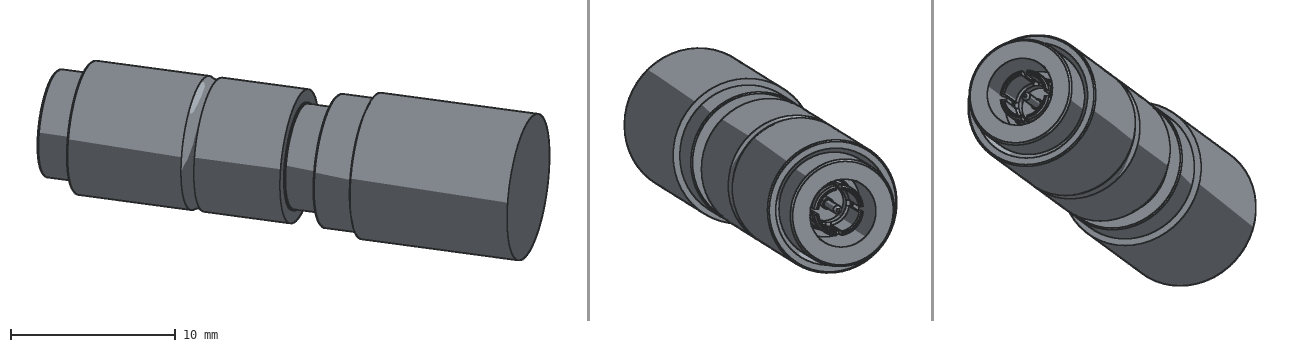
import cadquery as cq

total_length = 30.2

nose_diameter = 6.65
neck_diameter = 6.5
collar_diameter = 8.25
ferrule_diameter = 9.0
nose_chamfer = 0.12
edge_chamfer = 0.1
collar_rear_chamfer = 0.15
neck_start = 15.75
collar_start = 17.75
collar_end = 20.23
socket_diameter = 4.2
socket_depth = 3.32
seat_diameter = 3.2
seat_chamfer = 0.1

sleeve_start = 2.1
sleeve_end = 15.67
sleeve_mouth_diameter = 7.25
groove_start = 9.4
groove_end = 10.2
groove_depth = 0.15

contact_start = 0.75
contact_end = 12.08
contact_bore = 2.3
contact_tube_diameter = 2.8
contact_base_diameter = 3.15
contact_mouth_diameter = 2.6
contact_lip_chamfer = 0.1
contact_tip_chamfer = 0.12
bead_length = 0.6
slot_width = 0.35
slot_end = 3.02
slot_count = 4

insulator_start = 3.62
pin_start = 1.0
pin_shoulder = 3.02
pin_diameter = 0.65
pin_nose_diameter = 0.5
pin_tip_diameter = 0.18
pin_tip_length = 0.15


def turned(points):
    """Revolve a closed (x, radius) outline about the X axis."""
    return cq.Workplane("XY").polyline(points).close().revolve(360, (0, 0, 0), (1, 0, 0))


def make_body():
    """One turned piece: nose with its socket, neck and rear collar."""
    nose_radius = nose_diameter / 2
    neck_radius = neck_diameter / 2
    collar_radius = collar_diameter / 2
    socket_radius = socket_diameter / 2
    seat_radius = seat_diameter / 2
    return turned([
        (0, socket_radius),
        (0, nose_radius - nose_chamfer),
        (nose_chamfer, nose_radius),
        (neck_start, nose_radius),
        (neck_start, neck_radius),
        (collar_start, neck_radius),
        (collar_start, collar_radius - edge_chamfer),
        (collar_start + edge_chamfer, collar_radius),
        (collar_end - collar_rear_chamfer, collar_radius),
        (collar_end, collar_radius - collar_rear_chamfer),
        (collar_end, 0),
        (contact_end, 0),
        (contact_end, seat_radius),
        (socket_depth + seat_chamfer, seat_radius),
        (socket_depth, seat_radius + seat_chamfer),
        (socket_depth, socket_radius),
    ])


def make_sleeve():
    """Tube around the nose with a flared mouth and a shallow rounded groove."""
    outer_radius = collar_diameter / 2
    bore_radius = nose_diameter / 2
    mouth_radius = sleeve_mouth_diameter / 2
    mouth_depth = mouth_radius - bore_radius
    groove_middle = (groove_start + groove_end) / 2
    outline = (
        cq.Workplane("XY")
        .moveTo(sleeve_start, mouth_radius)
        .lineTo(sleeve_start, outer_radius - edge_chamfer)
        .lineTo(sleeve_start + edge_chamfer, outer_radius)
        .lineTo(groove_start, outer_radius)
        .threePointArc((groove_middle, outer_radius - groove_depth), (groove_end, outer_radius))
        .lineTo(sleeve_end, outer_radius)
        .lineTo(sleeve_end, bore_radius)
        .lineTo(sleeve_start + mouth_depth, bore_radius)
        .close()
    )
    return outline.revolve(360, (0, 0, 0), (1, 0, 0))


def make_contact():
    """Spring tube with a raised bead at its tip, split by lengthwise slots."""
    bore_radius = contact_bore / 2
    mouth_radius = contact_mouth_diameter / 2
    tube_radius = contact_tube_diameter / 2
    base_radius = contact_base_diameter / 2
    cone_length = base_radius - tube_radius
    tube = turned([
        (slot_end, bore_radius),
        (slot_end - (mouth_radius - bore_radius), mouth_radius),
        (contact_start + contact_lip_chamfer, mouth_radius),
        (contact_start, mouth_radius + contact_lip_chamfer),
        (contact_start, base_radius - contact_tip_chamfer),
        (contact_start + contact_tip_chamfer, base_radius),
        (contact_start + bead_length, base_radius),
        (contact_start + bead_length + cone_length, tube_radius),
        (slot_end, tube_radius),
        (slot_end + cone_length, base_radius),
        (contact_end, base_radius),
        (contact_end, bore_radius),
    ])
    slot_length = slot_end - contact_start
    slot = cq.Workplane("XY").box(slot_length, slot_width, seat_diameter / 2, centered=(False, True, False))
    for index in range(slot_count):
        angle = index * 360 / slot_count
        cutter = slot.translate((contact_start, 0, 0)).rotate((0, 0, 0), (1, 0, 0), angle)
        tube = tube.cut(cutter)
    return tube


def make_insulator():
    """Ring that fills the contact bore around the pin."""
    return turned([
        (insulator_start, pin_diameter / 2),
        (insulator_start, contact_bore / 2),
        (contact_end, contact_bore / 2),
        (contact_end, pin_diameter / 2),
    ])


def make_pin():
    """Stepped centre pin with a blunt conical tip."""
    return turned([
        (pin_start, 0),
        (pin_start, pin_tip_diameter / 2),
        (pin_start + pin_tip_length, pin_nose_diameter / 2),
        (pin_shoulder, pin_nose_diameter / 2),
        (pin_shoulder, pin_diameter / 2),
        (contact_end, pin_diameter / 2),
        (contact_end, 0),
    ])


def make_ferrule():
    """Plain rear cylinder behind the collar."""
    length = total_length - collar_end
    return cq.Workplane("YZ", origin=(collar_end, 0, 0)).circle(ferrule_diameter / 2).extrude(length)


body = make_body()
sleeve = make_sleeve()
contact = make_contact()
insulator = make_insulator()
pin = make_pin()
ferrule = make_ferrule()

result = cq.Compound.makeCompound([
    body.val(),
    sleeve.val(),
    contact.val(),
    insulator.val(),
    pin.val(),
    ferrule.val(),
])